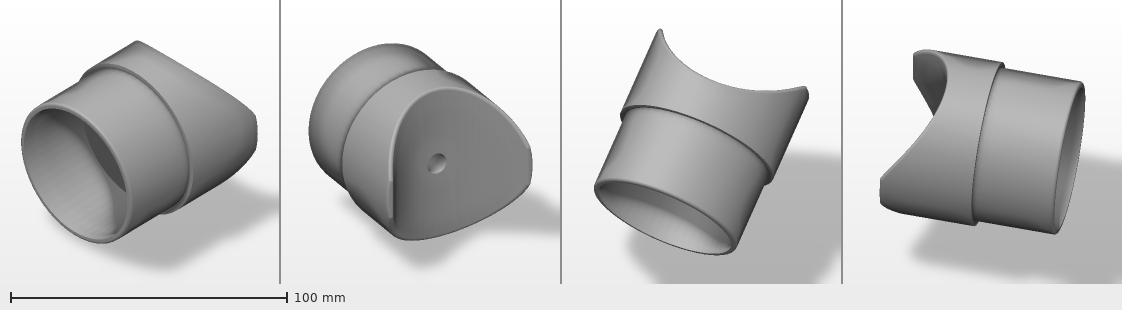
import cadquery as cq

pipe_diameter = 60.33
total_length = 64.0
spigot_length = 30.0
saddle_root = 46.0
shoulder_step = 2.0
wall = 2.0
hole_diameter = 8.0
edge_radius = 1.0
cut_overrun = 1.0

collar_radius = pipe_diameter / 2
collar_length = total_length - spigot_length
spigot_radius = collar_radius - shoulder_step
bore_radius = spigot_radius - wall
bore_depth = spigot_length
saddle_radius = pipe_diameter / 2
saddle_axis_y = saddle_root + saddle_radius


def cylinder_along_y(radius, start, length):
    """Cylinder on the Y axis running from y = start towards +Y."""
    return cq.Workplane("XZ", origin=(0, start, 0)).circle(radius).extrude(-length)


def make_spigot():
    """Reduced end with its outer mouth edge rounded."""
    spigot = cylinder_along_y(spigot_radius, 0, spigot_length)
    return spigot.faces("<Y").edges().fillet(edge_radius)


def is_rim_edge(edge):
    """True for edges lying wholly beyond the shoulder, at the saddle end."""
    return edge.BoundingBox().ymin > (spigot_length + saddle_root) / 2


def make_collar():
    """Full-diameter end, cut to sit on a pipe along Z, with a rounded rim."""
    collar = cylinder_along_y(collar_radius, spigot_length, collar_length)
    mating_pipe = (
        cq.Workplane("XY")
        .center(0, saddle_axis_y)
        .circle(saddle_radius)
        .extrude(collar_radius + cut_overrun, both=True)
    )
    return collar.cut(mating_pipe).edges().filter(is_rim_edge).fillet(edge_radius)


bore = cylinder_along_y(bore_radius, 0, bore_depth)
centre_hole = cylinder_along_y(hole_diameter / 2, 0, total_length)

result = make_spigot().union(make_collar()).cut(bore).cut(centre_hole)